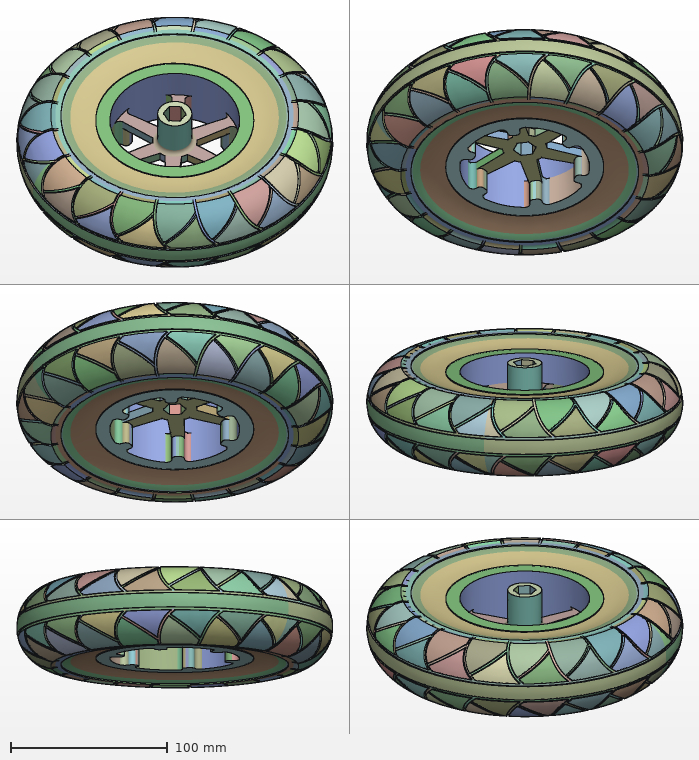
import cadquery as cq
import math

HALF_TURN = 180.0
FULL_TURN = 360.0
AXLE = (cq.Vector(0, 0, 0), cq.Vector(0, 0, 1))

TYRE_RADIUS = 101.0
TREAD_SECTION_RADIUS = 25.5
TREAD_DEPTH = 1.0
SECTION_CENTRE = TYRE_RADIUS - TREAD_SECTION_RADIUS
CARCASS_SECTION_RADIUS = TREAD_SECTION_RADIUS - TREAD_DEPTH
SEAT_RADIUS = 72.7
TREAD_FOOT_RADIUS = 76.2
TREAD_CREST_RADIUS = 79.2
TREAD_CREST_HEIGHT = math.sqrt(TREAD_SECTION_RADIUS**2 - (TREAD_CREST_RADIUS - SECTION_CENTRE) ** 2)

GROOVE_PITCHES = 20
CROWN_BAND_HALF_WIDTH = 4.6
CROWN_GROOVE_WIDTH = 1.8
MAIN_GROOVE_WIDTH = 1.6
MAIN_ARC_RADIUS = 27.7
MAIN_ARC_CENTRE = (28.7, 29.0)
MAIN_ARC_START = 184.0
MAIN_ARC_END = 236.5
BRANCH_GROOVE_WIDTH = 1.5
BRANCH_START = (-20.8, 9.5)
BRANCH_END = (1.0, 22.8)
CUTTER_MARGIN = 3.0
CUTTER_RADIUS = TYRE_RADIUS + CUTTER_MARGIN
CUTTER_TOP = TREAD_SECTION_RADIUS + CUTTER_MARGIN

LIP_RADIUS = 71.5
LIP_HEIGHT = 23.6
DISH_CREST_RADIUS = 66.7
DISH_CREST_ANGLE = 19.0
DISH_FLOOR_RADIUS = 50.5
DISH_FLOOR_HEIGHT = 19.8
COLLAR_HEIGHT = 20.5
UPPER_BORE_RADIUS = 41.5
LOWER_BORE_RADIUS = 33.7
POST_CORNER_RADIUS = 3.0

SAME_RADIUS = 0.02

WEB_TOP = 0.8
WEB_THICKNESS = 6.0
WEB_BOTTOM = WEB_TOP - WEB_THICKNESS
SPOKES = 6
SPOKE_PITCH = FULL_TURN / SPOKES
FIRST_SPOKE_ANGLE = 30.0
SPOKE_INNER_WIDTH = 10.5
SPOKE_OUTER_WIDTH = 7.7
WINDOW_INNER_RADIUS = 14.1
WINDOW_CORNER_RADIUS = 3.5
HUB_RADIUS = 11.0
HUB_TOP = 26.3
HUB_FILLET = 2.8
HEX_SIDES = 6
HEX_ACROSS_FLATS = 12.7


def polar(radius, degrees, centre=(0.0, 0.0)):
    angle = math.radians(degrees)
    return (centre[0] + radius * math.cos(angle), centre[1] + radius * math.sin(angle))


def carcass_point(height):
    """Point (radius, height) of the carcass section."""
    return (SECTION_CENTRE + math.sqrt(CARCASS_SECTION_RADIUS**2 - height**2), height)


def disc(radius, bottom, top):
    return cq.Workplane("XY", origin=(0, 0, bottom)).circle(radius).extrude(top - bottom)


def half_turn_blank():
    """Half turn of the plain tyre: flat sidewalls, a hollow tread foot and a round tread."""
    foot_width = TREAD_CREST_RADIUS - TREAD_FOOT_RADIUS
    foot_rise = TREAD_CREST_HEIGHT - CARCASS_SECTION_RADIUS
    foot_arc_radius = (foot_width**2 + foot_rise**2) / (2 * foot_rise)
    middle_rise = foot_arc_radius - math.sqrt(foot_arc_radius**2 - (foot_width / 2) ** 2)
    middle_radius = TREAD_FOOT_RADIUS + foot_width / 2
    middle_height = CARCASS_SECTION_RADIUS + middle_rise
    return (
        cq.Workplane("XZ")
        .moveTo(SEAT_RADIUS, -CARCASS_SECTION_RADIUS)
        .lineTo(SEAT_RADIUS, CARCASS_SECTION_RADIUS)
        .lineTo(TREAD_FOOT_RADIUS, CARCASS_SECTION_RADIUS)
        .threePointArc((middle_radius, middle_height), (TREAD_CREST_RADIUS, TREAD_CREST_HEIGHT))
        .threePointArc((TYRE_RADIUS, 0), (TREAD_CREST_RADIUS, -TREAD_CREST_HEIGHT))
        .threePointArc((middle_radius, -middle_height), (TREAD_FOOT_RADIUS, -CARCASS_SECTION_RADIUS))
        .close()
        .revolve(HALF_TURN, (0, 0), (0, 1))
        .rotate(*AXLE, HALF_TURN / 2)
        .val()
    )


def space_outside_carcass(low, high, outer_points):
    """Ring with the carcass between two heights as its floor, closed by the outer points."""
    return (
        cq.Workplane("XZ")
        .moveTo(*carcass_point(low))
        .threePointArc(carcass_point((low + high) / 2), carcass_point(high))
        .polyline(outer_points, includeCurrent=True)
        .close()
        .revolve(FULL_TURN, (0, 0), (0, 1))
    )


def crown_groove():
    low = CROWN_BAND_HALF_WIDTH
    high = low + CROWN_GROOVE_WIDTH
    return space_outside_carcass(low, high, [(CUTTER_RADIUS, high), (CUTTER_RADIUS, low)]).val()


def main_groove():
    """Curved slot running outward along +X."""
    middle = (MAIN_ARC_START + MAIN_ARC_END) / 2
    inner = MAIN_ARC_RADIUS - MAIN_GROOVE_WIDTH / 2
    outer = MAIN_ARC_RADIUS + MAIN_GROOVE_WIDTH / 2
    inner_points = [polar(inner, angle, MAIN_ARC_CENTRE) for angle in (MAIN_ARC_END, middle, MAIN_ARC_START)]
    outer_points = [polar(outer, angle, MAIN_ARC_CENTRE) for angle in (MAIN_ARC_START, middle, MAIN_ARC_END)]
    return (
        cq.Workplane("YZ")
        .moveTo(*outer_points[0])
        .threePointArc(*outer_points[1:])
        .lineTo(*inner_points[0])
        .threePointArc(*inner_points[1:])
        .close()
        .extrude(CUTTER_RADIUS)
    )


def branch_groove():
    """Straight slot running outward along +X."""
    run = BRANCH_END[0] - BRANCH_START[0]
    rise = BRANCH_END[1] - BRANCH_START[1]
    return (
        cq.Workplane("YZ")
        .center(BRANCH_START[0] + run / 2, BRANCH_START[1] + rise / 2)
        .transformed(rotate=(0, 0, math.degrees(math.atan2(rise, run))))
        .rect(math.hypot(run, rise), BRANCH_GROOVE_WIDTH)
        .extrude(CUTTER_RADIUS)
    )


def tread_groove():
    """One main groove with its branch, no deeper than the carcass."""
    low = CROWN_BAND_HALF_WIDTH + CROWN_GROOVE_WIDTH / 2
    high = CARCASS_SECTION_RADIUS
    outer_points = [(SECTION_CENTRE, CUTTER_TOP), (CUTTER_RADIUS, CUTTER_TOP), (CUTTER_RADIUS, low)]
    space = space_outside_carcass(low, high, outer_points)
    return main_groove().union(branch_groove()).intersect(space).val()


def make_tyre():
    """Two equal half turns; the grooves repeat evenly and are mirrored below the middle plane."""
    groove = tread_groove()
    pitch = FULL_TURN / GROOVE_PITCHES
    steps = range(-1, GROOVE_PITCHES // 2 + 2)
    cutters = [groove.rotate(*AXLE, HALF_TURN / 2 + step * pitch) for step in steps]
    cutters.append(crown_groove())
    cutters += [cutter.mirror("XY") for cutter in cutters]
    half = half_turn_blank().cut(*cutters)
    return half.fuse(half.rotate(*AXLE, HALF_TURN)).Solids()[0]


def rim_side():
    """Rim above the middle plane: lower bore size, raised collar, hollow dish and lip."""
    slope = math.radians(DISH_CREST_ANGLE)
    dish_width = DISH_CREST_RADIUS - DISH_FLOOR_RADIUS
    dish_arc_radius = dish_width / math.sin(slope)
    dish_arc_centre = (DISH_FLOOR_RADIUS, DISH_FLOOR_HEIGHT + dish_arc_radius)
    return (
        cq.Workplane("XZ")
        .moveTo(LOWER_BORE_RADIUS, 0)
        .lineTo(LOWER_BORE_RADIUS, COLLAR_HEIGHT)
        .lineTo(DISH_FLOOR_RADIUS, COLLAR_HEIGHT)
        .lineTo(DISH_FLOOR_RADIUS, DISH_FLOOR_HEIGHT)
        .threePointArc(
            polar(dish_arc_radius, DISH_CREST_ANGLE / 2 - 90, dish_arc_centre),
            polar(dish_arc_radius, DISH_CREST_ANGLE - 90, dish_arc_centre),
        )
        .tangentArcPoint((LIP_RADIUS, LIP_HEIGHT), relative=False)
        .lineTo(SEAT_RADIUS, LIP_HEIGHT)
        .lineTo(SEAT_RADIUS, 0)
        .close()
        .revolve(FULL_TURN, (0, 0), (0, 1))
    )


def window():
    """Opening between two tapered spokes, through the web and on down through the rim."""
    start_outer = math.degrees(math.asin(SPOKE_OUTER_WIDTH / 2 / UPPER_BORE_RADIUS))
    start_inner = math.degrees(math.asin(SPOKE_INNER_WIDTH / 2 / WINDOW_INNER_RADIUS))
    middle = SPOKE_PITCH / 2
    end_outer = SPOKE_PITCH - start_outer
    end_inner = SPOKE_PITCH - start_inner
    return (
        cq.Workplane("XY", origin=(0, 0, -COLLAR_HEIGHT))
        .moveTo(*polar(WINDOW_INNER_RADIUS, start_inner))
        .lineTo(*polar(UPPER_BORE_RADIUS, start_outer))
        .threePointArc(polar(UPPER_BORE_RADIUS, middle), polar(UPPER_BORE_RADIUS, end_outer))
        .lineTo(*polar(WINDOW_INNER_RADIUS, end_inner))
        .threePointArc(polar(WINDOW_INNER_RADIUS, middle), polar(WINDOW_INNER_RADIUS, start_inner))
        .close()
        .extrude(COLLAR_HEIGHT + WEB_TOP)
        .edges("|Z")
        .filter(lambda edge: math.hypot(edge.Center().x, edge.Center().y) > LOWER_BORE_RADIUS)
        .fillet(WINDOW_CORNER_RADIUS)
    )


def is_post_corner(edge):
    """True for the upright edges where a window meets the lower bore, below the web."""
    middle = edge.Center()
    on_bore = abs(math.hypot(middle.x, middle.y) - LOWER_BORE_RADIUS) < SAME_RADIUS
    return on_bore and -COLLAR_HEIGHT < middle.z < WEB_BOTTOM


def hub():
    """Tube standing on the web, with a filleted foot."""
    foot_radius = HUB_RADIUS + HUB_FILLET
    foot_top = WEB_TOP + HUB_FILLET
    return (
        cq.Workplane("XZ")
        .moveTo(0, WEB_BOTTOM)
        .lineTo(foot_radius, WEB_BOTTOM)
        .lineTo(foot_radius, WEB_TOP)
        .threePointArc(polar(HUB_FILLET, 225, (foot_radius, foot_top)), (HUB_RADIUS, foot_top))
        .lineTo(HUB_RADIUS, HUB_TOP)
        .lineTo(0, HUB_TOP)
        .close()
        .revolve(FULL_TURN, (0, 0), (0, 1))
    )


def hex_bore():
    return (
        cq.Workplane("XY", origin=(0, 0, WEB_BOTTOM))
        .polygon(HEX_SIDES, HEX_ACROSS_FLATS / math.cos(math.pi / HEX_SIDES))
        .extrude(HUB_TOP - WEB_BOTTOM)
    )


def make_rim():
    side = rim_side()
    body = side.union(side.mirror("XY"))
    body = body.union(disc(LOWER_BORE_RADIUS, WEB_BOTTOM, WEB_TOP))
    body = body.cut(disc(UPPER_BORE_RADIUS, WEB_TOP, COLLAR_HEIGHT))
    for index in range(SPOKES):
        angle = FIRST_SPOKE_ANGLE + index * SPOKE_PITCH
        body = body.cut(window().rotate(*AXLE, angle))
    body = body.edges("|Z").filter(is_post_corner).fillet(POST_CORNER_RADIUS)
    return body.union(hub()).cut(hex_bore()).val()


tyre = make_tyre()
rim = make_rim()
result = cq.Compound.makeCompound([tyre, rim])